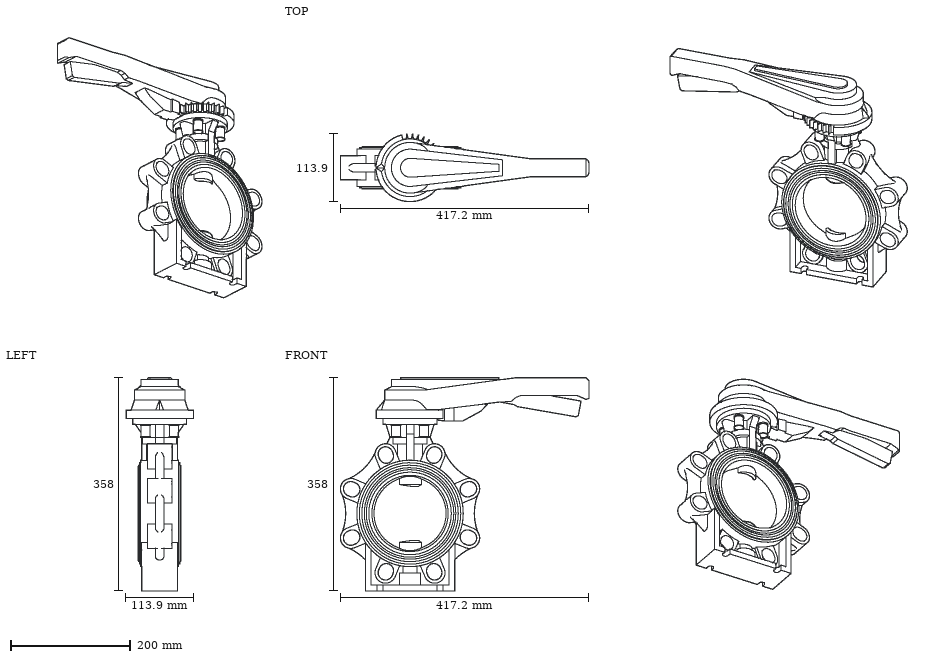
import cadquery as cq
import math


overall_x = 417.2
overall_y = 114.0
top_z = 228.0
foot_z = -130.0

body_radius = 89.5
body_half_width = 31.7
liner_half_width = 36.0
liner_radius = 85.0
bead_radii = (79.0, 71.5)
bead_size = 2.0
bore_radius = 64.3
seat_radius = 60.5

disc_half_thickness = 6.3
shaft_radius = 17.5
hub_half_width = 29.5
shaft_offset_x = -2.5
boss_radius = 20.5
boss_tip_z = 45.5
boss_chamfer = 3.5

lug_count = 8
lug_pitch_radius = 106.0
lug_radius = 17.5
lug_stretch = 3.5
lug_half_width = 20.5
foot_lug_half_width = 13.5
hole_radius = 12.0
web_half_width = 7.3
web_mid_radius = 108.0
web_arc_radius = 87.5
web_half_span = 34.2
web_edge_fillet = 5.0

foot_half_length = 75.0
foot_half_width = 30.0
foot_wall = 10.0
foot_wall_top = -49.0
foot_slot_x = 50.0
foot_slot_width = 10.0
foot_slot_depth = 11.0
foot_post_radius = 19.0
foot_post_top = -100.0
lower_stem_radius = 13.8

neck_radius = 22.5
neck_rib_half_width = 6.3
pad_radius = 29.0
pad_bottom, pad_top = 116.5, 127.5
side_rib_top, side_rib_waist, side_rib_foot = 40.5, 34.0, 39.2
front_rib_top = 41.0
front_rib_flare_z = 133.5
bolt_radius = 7.5
bolt_seat_radius = 8.5
bolt_seat_height = 2.0
bolt_offset = 23.8

collar_radius = 45.5
collar_bottom = 149.5
flange_radius = overall_y / 2
flange_bottom, flange_top = 159.0, 173.0
skirt_radius = 48.5
hub_radius = 42.5
hub_bottom, hub_top = 190.0, 207.0
pointer_half_width = 6.3
pointer_root_radius = 33.5
pointer_tip = 0.5
cap_radius = 31.5
cap_bottom, cap_top = 213.0, 225.0

tooth_root_radius = 49.2
tooth_root_width = 4.0
tooth_tip_width = 1.0
tooth_pitch = 10.0
tooth_first, tooth_count = 95.5, 11
sector_start, sector_end = -15.0, 104.0

body_left_x = -(lug_pitch_radius + lug_stretch / 2) * math.cos(math.pi / lug_count) - lug_radius
lever_end = overall_x + body_left_x
grip_start = 201.0
grip_half_width = 15.5
grip_bottom = 197.8
grip_corner = 8.5
grip_chamfer = 5.0
cap_end, cap_end_half_width = 155.2, 13.5
badge_radius = 16.0
badge_end, badge_end_half_width = 149.0, 6.0
trigger_half_width = 8.5
trigger_overlap = 4.0
catch_half_width = 12.5
catch_head_half_width = 16.5
catch_head_start, catch_head_end = 58.0, 73.5
catch_bottom = 155.0
catch_root = 183.0


def turned(radius, bottom, top):
    """Cylinder on the stem axis."""
    return cq.Workplane("XY").workplane(offset=bottom).circle(radius).extrude(top - bottom)


def box(x0, x1, y0, y1, z0, z1):
    return cq.Workplane("XY").box(x1 - x0, y1 - y0, z1 - z0, centered=False).translate((x0, y0, z0))


def plate_xz(points, half_width):
    """Polygon in the XZ plane, extruded equally to both sides."""
    return cq.Workplane("XZ").polyline(points).close().extrude(half_width, both=True)


def teardrop(radius, end_x, end_half_width, bottom, top):
    """Rounded head on the stem axis with straight sides tapering to a square end."""
    distance = math.hypot(end_x, end_half_width)
    angle = math.atan2(end_half_width, end_x) + math.acos(radius / distance)
    tangent_x = radius * math.cos(angle)
    tangent_y = radius * math.sin(angle)
    return (
        cq.Workplane("XY").workplane(offset=bottom)
        .moveTo(end_x, -end_half_width)
        .lineTo(end_x, end_half_width)
        .lineTo(tangent_x, tangent_y)
        .threePointArc((-radius, 0), (tangent_x, -tangent_y))
        .close().extrude(top - bottom)
    )


def ring_body():
    """Solid drum about the flow axis: body ring, and liner with round sealing beads on each face."""
    face = liner_half_width - bead_size
    outline = (
        cq.Workplane("XY").lineTo(body_radius, 0).lineTo(body_radius, body_half_width)
        .lineTo(liner_radius, body_half_width).lineTo(liner_radius, face)
    )
    for radius in bead_radii:
        outline = outline.lineTo(radius + bead_size, face)
        outline = outline.threePointArc((radius, liner_half_width), (radius - bead_size, face))
    side = outline.lineTo(0, face).close().revolve(360, (0, 0, 0), (0, 1, 0))
    return side.union(side.mirror("XZ"))


def bore():
    """Flow passage: a taper from each face down to the seat at mid width."""
    half = [
        (0, 0), (seat_radius, 0), (seat_radius, disc_half_thickness),
        (bore_radius, liner_half_width), (0, liner_half_width),
    ]
    side = cq.Workplane("XY").polyline(half).close().revolve(360, (0, 0, 0), (0, 1, 0))
    return side.union(side.mirror("XZ"))


def lug(radius, inner, half_width):
    """Radial bar with a round outer end, reaching inward to the given radius."""
    outer = lug_pitch_radius + lug_stretch / 2
    bar = (
        cq.Workplane("XZ").moveTo(inner, -radius).lineTo(outer, -radius)
        .threePointArc((outer + radius, 0), (outer, radius))
        .lineTo(inner, radius).close()
    )
    return bar.extrude(half_width, both=True)


def lug_hole():
    return (
        cq.Workplane("XZ").center(lug_pitch_radius, 0)
        .slot2D(2 * hole_radius + lug_stretch, 2 * hole_radius)
        .extrude(lug_half_width, both=True)
    )


def web():
    """Thin web between two lugs with a concave, rounded outer edge."""
    rise = web_arc_radius - math.sqrt(web_arc_radius**2 - web_half_span**2)
    corner = web_mid_radius + rise
    inner = (seat_radius + body_radius) / 2
    plate = (
        cq.Workplane("XZ").moveTo(inner, -web_half_span).lineTo(corner, -web_half_span)
        .threePointArc((web_mid_radius, 0), (corner, web_half_span))
        .lineTo(inner, web_half_span).close().extrude(web_half_width, both=True)
    )
    return plate.edges("%CIRCLE").fillet(web_edge_fillet)


def around(shape, angle):
    """Turn a shape about the flow axis, counter-clockwise as seen from -Y."""
    return shape.rotate((0, 0, 0), (0, 1, 0), -angle)


def foot():
    """Channel-shaped foot with open slots, a centre post and a web filling the channel."""
    inner = foot_half_length - foot_wall
    base_top = foot_z + foot_wall
    length, width = foot_half_length, foot_half_width
    shape = box(-length, length, -width, width, foot_z, foot_wall_top)
    shape = shape.cut(box(-inner, inner, -width, width, base_top, foot_wall_top))
    slot = (
        cq.Workplane("XY").workplane(offset=foot_z)
        .slot2D(2 * foot_slot_depth, foot_slot_width, 90).extrude(foot_wall)
    )
    for x in (-foot_slot_x, foot_slot_x):
        for y in (-width, width):
            shape = shape.cut(slot.translate((x, y, 0)))
    shape = shape.union(box(-inner, inner, -web_half_width, web_half_width, base_top, foot_wall_top))
    shape = shape.union(turned(foot_post_radius, base_top, foot_post_top))
    return shape.union(turned(lower_stem_radius, foot_post_top, -seat_radius))


def neck():
    """Stem housing with flared cross ribs, a bolting pad and four bolts."""
    root_z = (seat_radius + body_radius) / 2
    shape = turned(neck_radius, root_z, collar_bottom)
    shape = shape.union(turned(pad_radius, pad_bottom, pad_top))
    side_rib = [
        (side_rib_foot, root_z), (side_rib_foot, pad_bottom),
        (side_rib_waist, pad_top), (side_rib_top, collar_bottom),
    ]
    side_rib += [(-x, z) for x, z in reversed(side_rib)]
    rib = plate_xz(side_rib, web_half_width)
    shape = shape.union(rib.faces(">Y or <Y").edges("not #Z").fillet(web_edge_fillet))
    front_rib = [
        (foot_half_width, root_z), (foot_half_width, front_rib_flare_z), (front_rib_top, collar_bottom),
    ]
    front_rib += [(-y, z) for y, z in reversed(front_rib)]
    rib = cq.Workplane("YZ").polyline(front_rib).close().extrude(neck_rib_half_width, both=True)
    shape = shape.union(rib)
    bolt = turned(bolt_radius, pad_top, collar_bottom)
    bolt = bolt.union(turned(bolt_seat_radius, pad_top, pad_top + bolt_seat_height / 2))
    bolt = bolt.union(turned(bolt_seat_radius, collar_bottom - bolt_seat_height, collar_bottom))
    for x in (-bolt_offset, bolt_offset):
        for y in (-bolt_offset, bolt_offset):
            shape = shape.union(bolt.translate((x, y, 0)))
    return shape


def disc():
    """Closed disc; its off-centre shaft bulge blends into the flat faces with concave arcs."""
    t = disc_half_thickness
    blend = (hub_half_width**2 + t**2 - shaft_radius**2) / (2 * (shaft_radius - t))
    centre_y = t + blend
    share = shaft_radius / (shaft_radius + blend)
    touch = (hub_half_width * share, centre_y * share)
    to_touch = math.atan2(touch[1] - centre_y, touch[0] - hub_half_width)
    mid_angle = (to_touch % (2 * math.pi) + 1.5 * math.pi) / 2
    mid = (hub_half_width + blend * math.cos(mid_angle), centre_y + blend * math.sin(mid_angle))
    half = (
        cq.Workplane("XY").workplane(offset=-seat_radius)
        .moveTo(-bore_radius, 0).lineTo(-bore_radius, t).lineTo(-hub_half_width, t)
        .threePointArc((-mid[0], mid[1]), (-touch[0], touch[1]))
        .threePointArc((0, shaft_radius), touch)
        .threePointArc(mid, (hub_half_width, t))
        .lineTo(bore_radius, t).lineTo(bore_radius, 0).close().extrude(2 * seat_radius)
        .translate((shaft_offset_x, 0, 0))
    )
    shape = half.union(half.mirror("XZ"))
    boss = turned(boss_radius, boss_tip_z, bore_radius).faces("<Z").chamfer(boss_chamfer)
    shape = shape.union(boss).union(boss.mirror("XY"))
    return shape.intersect(bore())


def ratchet_flange():
    """Hub flange with a recessed sector that carries pointed radial teeth."""
    height = flange_top - flange_bottom
    reach = 2 * flange_radius

    def at(radius, angle):
        return (radius * math.cos(math.radians(angle)), radius * math.sin(math.radians(angle)))

    middle = (sector_start + sector_end) / 2
    sector = (
        cq.Workplane("XY").workplane(offset=flange_bottom)
        .polyline([(0, 0), at(reach, sector_start), at(reach, middle), at(reach, sector_end)])
        .close().extrude(height)
    )
    shape = turned(flange_radius, flange_bottom, flange_top).cut(sector)
    shape = shape.union(turned(tooth_root_radius, flange_bottom, flange_top))
    foot_radius = tooth_root_radius - tooth_root_width / 2
    tooth = (
        cq.Workplane("XY").workplane(offset=flange_bottom)
        .polyline([
            (foot_radius, -tooth_root_width / 2), (flange_radius, -tooth_tip_width / 2),
            (flange_radius, tooth_tip_width / 2), (foot_radius, tooth_root_width / 2),
        ])
        .close().extrude(height)
    )
    for i in range(tooth_count):
        shape = shape.union(tooth.rotate((0, 0, 0), (0, 0, 1), tooth_first - i * tooth_pitch))
    return shape


def lever_hub():
    """Turned hub of the lever with a wedge-shaped pointer on the -X side."""
    profile = [
        (0, flange_bottom), (skirt_radius, flange_bottom), (skirt_radius, flange_top),
        (hub_radius, hub_bottom), (hub_radius, hub_top),
        (cap_radius, cap_bottom), (cap_radius, cap_top), (0, cap_top),
    ]
    shape = cq.Workplane("XZ").polyline(profile).close().revolve(360, (0, 0, 0), (0, 1, 0))
    rise = hub_bottom - flange_top
    spread = pointer_half_width / (flange_radius - skirt_radius)
    base_run = flange_radius - pointer_root_radius
    pointer = (
        cq.Workplane("XY").workplane(offset=flange_top)
        .polyline([
            (-flange_radius, 0),
            (-pointer_root_radius, -spread * base_run),
            (-pointer_root_radius, spread * base_run),
        ])
        .close().workplane(offset=rise)
        .polyline([
            (-hub_radius - pointer_tip, 0),
            (-hub_radius, -spread * pointer_tip),
            (-hub_radius, spread * pointer_tip),
        ])
        .close().loft(ruled=True)
    )
    return shape.union(pointer).union(turned(collar_radius, collar_bottom, flange_bottom))


def lever():
    """Lever arm: side outline cut to the plan taper, with cap, badge, trigger and catch."""
    side = [
        (0, hub_top), (24.5, hub_top), (177.7, top_z),
        (lever_end - grip_chamfer, top_z), (lever_end, top_z - grip_chamfer),
        (lever_end, 192.8), (lever_end - grip_chamfer, 191.0),
        (279.5, grip_bottom), (185.5, grip_bottom), (177.5, 194.5), (170.2, 188.0), (149.5, 186.5),
        (49.5, 174.5), (0, flange_top),
    ]
    arm = plate_xz(side, hub_radius)
    plan = teardrop(hub_radius, grip_start, grip_half_width, flange_top, top_z)
    grip_plan = box(0, lever_end, -grip_half_width, grip_half_width, flange_top, top_z)
    grip_plan = grip_plan.edges("|Z and >X").fillet(grip_corner)
    shape = arm.intersect(plan.union(grip_plan))
    shape = shape.union(teardrop(cap_radius, cap_end, cap_end_half_width, hub_bottom, cap_top))
    shape = shape.union(teardrop(badge_radius, badge_end, badge_end_half_width, hub_top, top_z))
    trigger = [
        (152.5, 186.5), (174.5, 182.5), (180.0, 179.0), (278.5, 162.0), (282.5, 164.0), (287.0, 188.5),
        (235.5, grip_bottom), (235.5, grip_bottom + trigger_overlap), (167.0, grip_bottom + trigger_overlap),
    ]
    shape = shape.union(plate_xz(trigger, trigger_half_width))
    catch = [
        (46.7, 156.5), (catch_head_start, catch_bottom), (88.5, catch_bottom), (119.0, 171.5),
        (130.0, catch_root), (46.7, catch_root),
    ]
    shape = shape.union(plate_xz(catch, catch_half_width))
    catch_head = box(
        catch_head_start, catch_head_end, -catch_head_half_width, catch_head_half_width,
        catch_bottom, catch_root,
    )
    return shape.union(catch_head)


lug_step = 360 / lug_count
neck_side = lug_count // 4
foot_side = 3 * lug_count // 4
foot_lugs = (foot_side - 1, foot_side)
body = ring_body().union(foot()).union(neck())
for i in range(lug_count):
    half_width = foot_lug_half_width if i in foot_lugs else lug_half_width
    bar = lug(lug_radius, (seat_radius + body_radius) / 2, half_width)
    body = body.union(around(bar, (i + 0.5) * lug_step))
    if i not in (neck_side, foot_side):
        body = body.union(around(web(), i * lug_step))
for i in range(lug_count):
    body = body.cut(around(lug_hole(), (i + 0.5) * lug_step))
body = body.cut(bore()).union(disc())

result = body.union(lever_hub()).union(ratchet_flange()).union(lever())